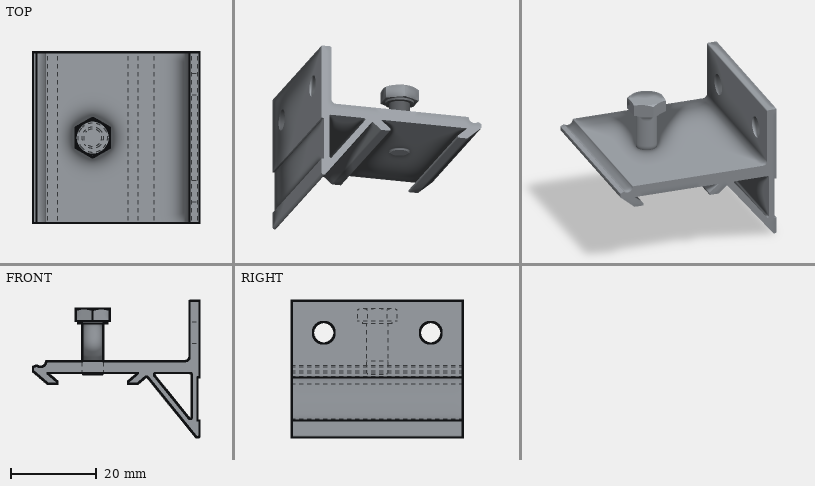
import cadquery as cq
import math


length = 40.0
depth = 39.0
upright_top = 14.1
total_height = 32.0
bracket_bottom = upright_top - total_height
plate_thickness = 2.85
upright_thickness = 2.4
inner_corner_radius = 1.0
upright_edge_radius = 0.3
back_wall_thickness = 1.9

recess_depth = 0.5
recess_top = -3.8
recess_bottom = -13.9

strut_angle = math.radians(51)
strut_thickness = 1.5
strut_tip_radius = 0.5
opening_radius = 0.3
notch_radius = 0.3

hook_center_x = -25.0
hook_angle = math.radians(40.5)
hook_bottom = -5.35
hook_tip_reach = 8.2
hook_tip_height = 0.5
hook_heel_reach = 10.5
hook_heel_radius = 0.5
hook_tip_radius = 0.2

lip_corner_z = -1.4
lip_crest_x = -38.1
lip_crest_z = -1.0
groove_end_x = -35.9
groove_radius = 1.31
groove_edge_radius = 0.2

mounting_hole_diameter = 5.0
mounting_hole_spacing = 25.0
mounting_hole_below_top = 7.5
mounting_hole_z = upright_top - mounting_hole_below_top

bolt_x = hook_center_x
bolt_diameter = 5.0
bolt_tip_diameter = 4.13
bolt_length = 12.0
bolt_seat_z = 8.8
washer_face_diameter = 6.88
washer_face_height = 0.5
head_height = 3.5
head_across_flats = 8.0
head_chamfer_angle = math.radians(30)

plate_bottom = -plate_thickness
hook_slope = math.tan(hook_angle)
strut_slope = math.tan(strut_angle)

strut_end_z = bracket_bottom - strut_tip_radius * (1 / math.cos(strut_angle) + strut_slope - 1)


def hook_points(side):
    """Inner root, tip top, tip bottom and heel of one hook; side is -1 (free edge) or +1."""
    tip_x = hook_center_x + side * hook_tip_reach
    tip_top = hook_bottom + hook_tip_height
    root_reach = hook_tip_reach + (plate_bottom - tip_top) / hook_slope
    return [
        (hook_center_x + side * root_reach, plate_bottom),
        (tip_x, tip_top),
        (tip_x, hook_bottom),
        (hook_center_x + side * hook_heel_reach, hook_bottom),
    ]


left_hook = hook_points(-1)
right_hook = hook_points(1)
left_heel_x = left_hook[-1][0]
right_heel_x = right_hook[-1][0]

free_edge_bottom = (-depth, hook_bottom + (depth + left_heel_x) * hook_slope)

notch_x = (strut_end_z - hook_bottom + right_heel_x * hook_slope) / (hook_slope + strut_slope)
notch = (notch_x, strut_end_z - strut_slope * notch_x)


def round_edges(body, points, radius):
    """Fillet the edges along Y that pass nearest to the given (x, z) points."""
    edges = body.edges("|Y")
    picked = edges.newObject(
        [edges.edges(cq.selectors.NearestToPointSelector((x, 0, z))).val() for x, z in points]
    )
    return picked.fillet(radius)


def along_length():
    """Workplane whose extrusion runs the full length of the bracket toward -Y."""
    return cq.Workplane("XZ", origin=(0, length / 2, 0))


def groove_midpoint():
    """Point halfway along the groove's arc, on the side that cuts into the plate."""
    chord_x = groove_end_x - lip_crest_x
    chord_z = -lip_crest_z
    chord = math.hypot(chord_x, chord_z)
    sagitta = groove_radius - math.sqrt(groove_radius**2 - chord**2 / 4)
    return (
        (groove_end_x + lip_crest_x) / 2 + sagitta * chord_z / chord,
        lip_crest_z / 2 - sagitta * chord_x / chord,
    )


def make_profile():
    upright_top_edge = (-upright_thickness, upright_top)
    inner_corner = (-upright_thickness, 0)
    strut_end = (0, strut_end_z)
    groove_end = (groove_end_x, 0)
    profile = (
        along_length()
        .moveTo(0, upright_top)
        .lineTo(*upright_top_edge)
        .lineTo(*inner_corner)
        .lineTo(*groove_end)
        .threePointArc(groove_midpoint(), (lip_crest_x, lip_crest_z))
        .lineTo(-depth, lip_corner_z)
        .lineTo(*free_edge_bottom)
    )
    for point in reversed(left_hook):
        profile = profile.lineTo(*point)
    for point in right_hook:
        profile = profile.lineTo(*point)
    body = profile.lineTo(*notch).lineTo(*strut_end).close().extrude(length)

    body = round_edges(body, [upright_top_edge], upright_edge_radius)
    body = round_edges(body, [inner_corner], inner_corner_radius)
    body = round_edges(body, [groove_end], groove_edge_radius)
    body = round_edges(body, [left_hook[3], right_hook[3]], hook_heel_radius)
    body = round_edges(body, left_hook[1:3] + right_hook[1:3], hook_tip_radius)
    body = round_edges(body, [notch], notch_radius)
    return round_edges(body, [strut_end], strut_tip_radius)


def make_opening():
    wall_x = -back_wall_thickness
    strut_back_z = strut_end_z + strut_thickness / math.cos(strut_angle)
    corners = [
        (wall_x, plate_bottom),
        ((strut_back_z - plate_bottom) / strut_slope, plate_bottom),
        (wall_x, strut_back_z - strut_slope * wall_x),
    ]
    return along_length().polyline(corners).close().extrude(length).edges("|Y").fillet(opening_radius)


def make_recess():
    return (
        along_length()
        .moveTo(-recess_depth, recess_bottom)
        .lineTo(0, recess_bottom)
        .lineTo(0, recess_top)
        .lineTo(-recess_depth, recess_top)
        .close()
        .extrude(length)
    )


def make_mounting_holes():
    return (
        cq.Workplane("YZ", origin=(-upright_thickness, 0, mounting_hole_z))
        .rarray(mounting_hole_spacing, 1, 2, 1)
        .circle(mounting_hole_diameter / 2)
        .extrude(upright_thickness)
    )


def make_bolt_hole():
    return (
        cq.Workplane("XY", origin=(bolt_x, 0, plate_bottom))
        .circle(bolt_diameter / 2)
        .extrude(plate_thickness)
    )


def make_bracket():
    return (
        make_profile()
        .cut(make_opening())
        .cut(make_recess())
        .cut(make_mounting_holes())
        .cut(make_bolt_hole())
    )


def make_bolt_head():
    """Hexagon with corners along Y, its top corners cut by a shallow cone."""
    across_corners = head_across_flats / math.cos(math.pi / 6)
    head_bottom = bolt_seat_z + washer_face_height
    head_top = bolt_seat_z + head_height
    hexagon = (
        cq.Workplane("XY", origin=(bolt_x, 0, head_bottom))
        .transformed(rotate=(0, 0, 90))
        .polygon(6, across_corners)
        .extrude(head_top - head_bottom)
    )
    corner_radius = across_corners / 2
    flat_radius = head_across_flats / 2
    chamfer_drop = (corner_radius - flat_radius) * math.tan(head_chamfer_angle)
    envelope = (
        cq.Workplane("XZ", origin=(bolt_x, 0, 0))
        .moveTo(0, head_bottom)
        .lineTo(corner_radius, head_bottom)
        .lineTo(corner_radius, head_top - chamfer_drop)
        .lineTo(flat_radius, head_top)
        .lineTo(0, head_top)
        .close()
        .revolve(360, (0, 0, 0), (0, 1, 0))
    )
    return hexagon.intersect(envelope)


def make_bolt():
    washer_face = (
        cq.Workplane("XY", origin=(bolt_x, 0, bolt_seat_z))
        .circle(washer_face_diameter / 2)
        .extrude(washer_face_height)
    )
    shank = (
        cq.Workplane("XY", origin=(bolt_x, 0, bolt_seat_z))
        .circle(bolt_diameter / 2)
        .extrude(-bolt_length)
        .faces("<Z")
        .chamfer((bolt_diameter - bolt_tip_diameter) / 2)
    )
    return make_bolt_head().union(washer_face).union(shank)


bracket = make_bracket()
bolt = make_bolt()

result = cq.Compound.makeCompound([bracket.val(), bolt.val()])